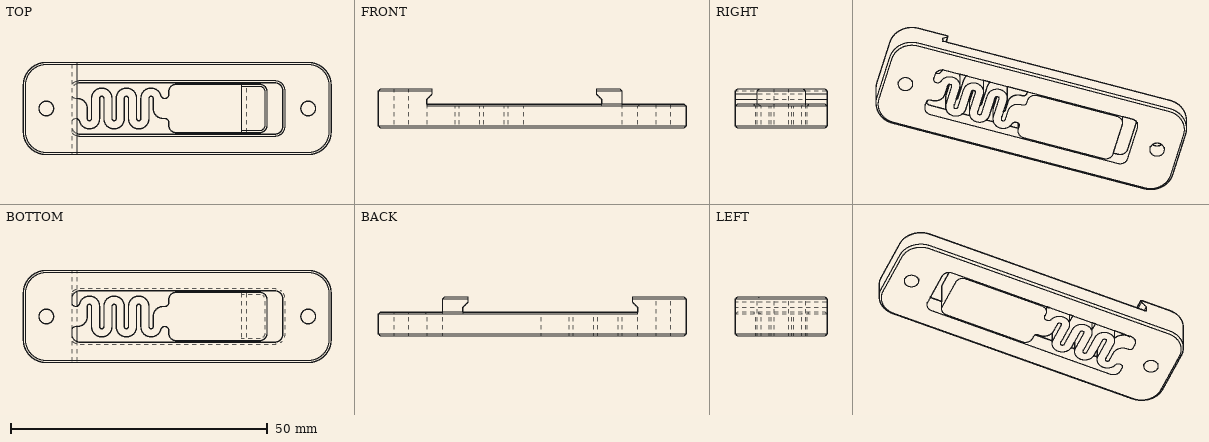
import cadquery as cq

length = 60.0
width = 18.0
total_height = 7.6
jaw_rise = 2.95
frame_height = total_height - jaw_rise
corner_radius = 4.5
edge_chamfer = 0.43

hole_diameter = 2.8
hole_inset = corner_radius

jaw_wall_x = 9.5
lip_reach = 1.0
lip_thickness = 1.0

slot_end_x = 50.5
slot_half_width = 5.0
slot_corner_radius = 1.5

tongue_start_x = 28.3
tongue_end_x = 47.5
tongue_half_width = 4.75
tongue_drop = 0.4
tongue_height = frame_height - tongue_drop
tongue_corner_radius = 1.5
catch_wall_x = 43.5

spring_gap = 0.8
beam_width = 1.6
leg_pitch = spring_gap + beam_width
turn_count = 6
turn_center_y = 2.0
turn_inner_radius = spring_gap / 2
turn_outer_radius = turn_inner_radius + beam_width
spring_mid_x = (jaw_wall_x + tongue_start_x) / 2
first_turn_x = spring_mid_x - leg_pitch * (turn_count - 1) / 2
last_turn_x = first_turn_x + leg_pitch * (turn_count - 1)
neck_half_width = turn_center_y
neck_fillet = 0.65


def block(x_min, x_max, y_min, y_max, height):
    """Box standing on the base plane."""
    return cq.Workplane("XY").box(
        x_max - x_min, y_max - y_min, height, centered=False
    ).translate((x_min, y_min, 0))


def rounded_slab(height):
    """Full outline of the body with its bottom edge chamfered."""
    slab = block(0, length, -width / 2, width / 2, height).edges("|Z").fillet(corner_radius)
    return slab.faces("<Z").edges().chamfer(edge_chamfer)


def hook_envelope(back_x, wall_x, direction):
    """Side profile of a jaw across the full width; its lip points along direction."""
    tip_x = wall_x + direction * lip_reach
    lip_bottom = total_height - lip_thickness
    profile = [
        (back_x, 0),
        (wall_x, 0),
        (wall_x, lip_bottom - lip_reach),
        (tip_x, lip_bottom),
        (tip_x, total_height),
        (back_x, total_height),
    ]
    return cq.Workplane("XZ").polyline(profile).close().extrude(width / 2, both=True)


def make_frame():
    slot = block(jaw_wall_x, slot_end_x, -slot_half_width, slot_half_width, frame_height)
    slot = slot.edges("|Z").fillet(slot_corner_radius)
    frame = rounded_slab(frame_height).cut(slot)
    return frame.faces(">Z").edges().chamfer(edge_chamfer)


def make_fixed_jaw():
    slab = rounded_slab(total_height).faces(">Z").edges().chamfer(edge_chamfer)
    return slab.intersect(hook_envelope(0, jaw_wall_x, 1))


def tongue_outline(height):
    tongue = block(tongue_start_x, tongue_end_x, -tongue_half_width, tongue_half_width, height)
    return tongue.edges("|Z").fillet(tongue_corner_radius)


def make_tongue():
    catch = tongue_outline(total_height).faces(">Z").edges().chamfer(edge_chamfer)
    catch = catch.intersect(hook_envelope(tongue_end_x, catch_wall_x, -1))
    return tongue_outline(tongue_height).union(catch)


def make_turn(center_x, side):
    """Half ring joining two neighbouring legs; side is +1 for +Y, -1 for -Y."""
    ring = (
        cq.Workplane("XY")
        .center(center_x, side * turn_center_y)
        .circle(turn_outer_radius)
        .circle(turn_inner_radius)
        .extrude(tongue_height)
    )
    y_near = side * turn_center_y
    y_far = side * (turn_center_y + turn_outer_radius)
    keep = block(
        center_x - turn_outer_radius,
        center_x + turn_outer_radius,
        min(y_near, y_far),
        max(y_near, y_far),
        tongue_height,
    )
    return ring.intersect(keep)


def make_neck(x_min, x_max, rounded_corner):
    """Solid end of the spring with one large round where it turns into the first leg."""
    neck = block(x_min, x_max, -neck_half_width, neck_half_width, tongue_height)
    return neck.edges("|Z").edges(rounded_corner).fillet(turn_outer_radius)


def make_spring():
    root_neck = make_neck(jaw_wall_x, first_turn_x - turn_inner_radius, ">X and >Y")
    tongue_neck = make_neck(last_turn_x + turn_inner_radius, tongue_start_x, "<X and <Y")
    spring = root_neck.union(tongue_neck)
    for index in range(turn_count):
        turn_x = first_turn_x + index * leg_pitch
        spring = spring.union(make_turn(turn_x, 1 if index % 2 else -1))
    for index in range(turn_count - 1):
        leg_x = first_turn_x + index * leg_pitch + turn_inner_radius
        leg = block(leg_x, leg_x + beam_width, -turn_center_y, turn_center_y, tongue_height)
        spring = spring.union(leg)
    return spring


def fillet_neck_corners(body):
    """Round the inside corners where the necks meet the frame, the spring and the tongue."""
    corners = [
        (jaw_wall_x, neck_half_width),
        (jaw_wall_x, -neck_half_width),
        (first_turn_x - turn_outer_radius, -neck_half_width),
        (last_turn_x + turn_outer_radius, neck_half_width),
        (tongue_start_x, neck_half_width),
        (tongue_start_x, -neck_half_width),
    ]
    for x, y in corners:
        corner_edge = cq.NearestToPointSelector((x, y, tongue_height / 2))
        body = body.edges("|Z").edges(corner_edge).fillet(neck_fillet)
    return body


def make_holes():
    return (
        cq.Workplane("XY")
        .pushPoints([(hole_inset, 0), (length - hole_inset, 0)])
        .circle(hole_diameter / 2)
        .extrude(total_height)
    )


body = make_frame().union(make_fixed_jaw()).union(make_spring()).union(make_tongue())
result = fillet_neck_corners(body).cut(make_holes())